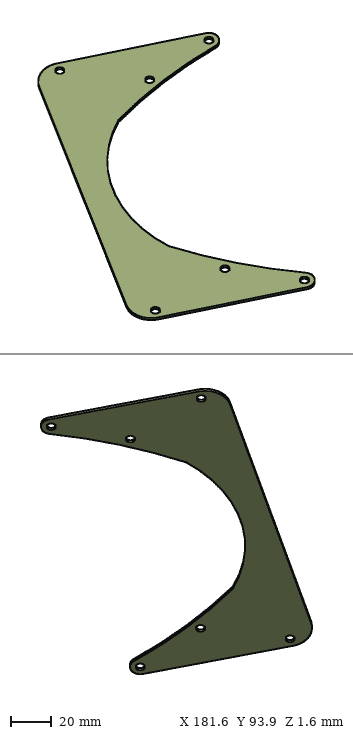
import cadquery as cq
import math

width = 181.6
height = 93.9
thickness = 1.6
corner_radius = 12.7
tip_radius = 5.0
hole_diameter = 4.5

bottom_web = 15.5
bottom_arc_radius = 72.6
flank_radius = 252.5
bottom_arc_half_width = 45.0

middle_hole_x = 67.5
middle_hole_y = 53.4

half_width = width / 2
tip_x = half_width - tip_radius
tip_y = height - tip_radius


def flank_centre(corner_x, corner_y):
    """Centre of the flank arc through the corner and tangent to the outside of the tip round."""
    dx = tip_x - corner_x
    dy = tip_y - corner_y
    span = math.hypot(dx, dy)
    tip_distance = flank_radius + tip_radius
    along = (span**2 + flank_radius**2 - tip_distance**2) / (2 * span)
    across = math.sqrt(flank_radius**2 - along**2)
    centre_x = corner_x + (along * dx - across * dy) / span
    centre_y = corner_y + (along * dy + across * dx) / span
    return centre_x, centre_y


def mirrored(point):
    return -point[0], point[1]


corner_rise = bottom_arc_radius - math.sqrt(bottom_arc_radius**2 - bottom_arc_half_width**2)
corner = (bottom_arc_half_width, bottom_web + corner_rise)

flank_x, flank_y = flank_centre(*corner)
tangent_angle = math.atan2(flank_y - tip_y, flank_x - tip_x)
tangent_point = (
    tip_x + tip_radius * math.cos(tangent_angle),
    tip_y + tip_radius * math.sin(tangent_angle),
)

start_angle = math.atan2(tangent_point[1] - flank_y, tangent_point[0] - flank_x)
end_angle = math.atan2(corner[1] - flank_y, corner[0] - flank_x)
mid_angle = (start_angle + end_angle) / 2
flank_middle = (
    flank_x + flank_radius * math.cos(mid_angle),
    flank_y + flank_radius * math.sin(mid_angle),
)

tip_top = (tip_x, height)
tip_side = (half_width, tip_y)

plate = (
    cq.Workplane("XY")
    .moveTo(-half_width, 0)
    .lineTo(half_width, 0)
    .lineTo(*tip_side)
    .threePointArc(tip_top, tangent_point)
    .threePointArc(flank_middle, corner)
    .threePointArc((0, bottom_web), mirrored(corner))
    .threePointArc(mirrored(flank_middle), mirrored(tangent_point))
    .threePointArc(mirrored(tip_top), mirrored(tip_side))
    .close()
    .extrude(thickness)
)

plate = plate.edges("|Z and <Y").fillet(corner_radius)

right_holes = [
    (tip_x, tip_y),
    (middle_hole_x, middle_hole_y),
    (tip_x, corner_radius),
]
hole_points = right_holes + [mirrored(point) for point in right_holes]

result = plate.faces(">Z").workplane(origin=(0, 0, 0)).pushPoints(hole_points).hole(hole_diameter)